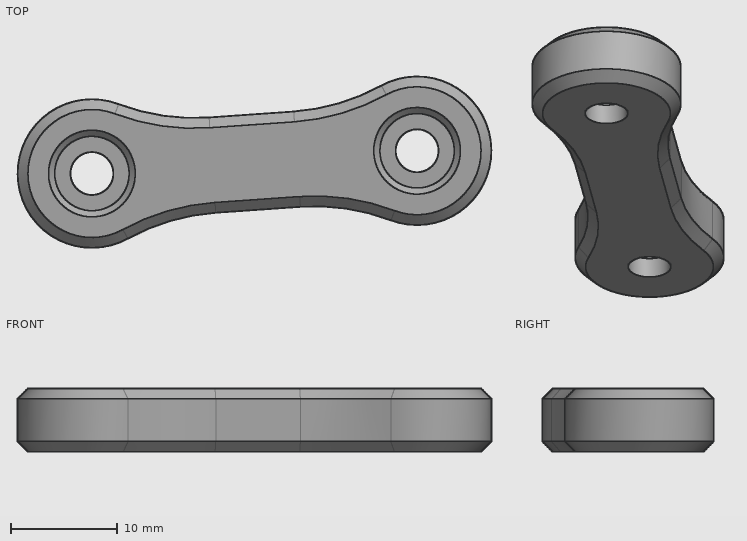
import cadquery as cq
import math

length = 44.65
depth = 16.15
thickness = 6.0
end_radius = 7.0
waist_width = 9.02
flat_length = 8.0
edge_chamfer = 1.0
hole_diameter = 4.0
counterbore_diameter = 7.0
counterbore_depth = 4.0
counterbore_chamfer = 0.6

span_x = length - 2 * end_radius
span_y = depth - 2 * end_radius
half_span = math.hypot(span_x, span_y) / 2
tilt = math.degrees(math.atan2(span_y, span_x))

waist_half = waist_width / 2
flat_half = flat_length / 2
neck_run = half_span - flat_half
neck_radius = (neck_run**2 + waist_half**2 - end_radius**2) / (2 * (end_radius - waist_half))
neck_center_y = waist_half + neck_radius
end_share = end_radius / (end_radius + neck_radius)
tangent_x = half_span - neck_run * end_share
tangent_y = neck_center_y * end_share

neck_mid_angle = math.atan2(neck_run, neck_center_y) / 2
neck_mid_x = flat_half + neck_radius * math.sin(neck_mid_angle)
neck_mid_y = neck_center_y - neck_radius * math.cos(neck_mid_angle)


def make_body():
    """Dog-bone link along X, chamfered around both faces."""
    tip_x = half_span + end_radius
    return (
        cq.Workplane("XY")
        .moveTo(-flat_half, waist_half)
        .lineTo(flat_half, waist_half)
        .threePointArc((neck_mid_x, neck_mid_y), (tangent_x, tangent_y))
        .threePointArc((tip_x, 0), (tangent_x, -tangent_y))
        .threePointArc((neck_mid_x, -neck_mid_y), (flat_half, -waist_half))
        .lineTo(-flat_half, -waist_half)
        .threePointArc((-neck_mid_x, -neck_mid_y), (-tangent_x, -tangent_y))
        .threePointArc((-tip_x, 0), (-tangent_x, tangent_y))
        .threePointArc((-neck_mid_x, neck_mid_y), (-flat_half, waist_half))
        .close()
        .extrude(thickness)
        .faces("<Z or >Z")
        .edges()
        .chamfer(edge_chamfer)
    )


def make_hole_cutter(x):
    """Through hole with a counterbore whose rim is chamfered."""
    bore_radius = counterbore_diameter / 2
    floor_z = thickness - counterbore_depth
    return (
        cq.Workplane("XZ")
        .lineTo(hole_diameter / 2, 0)
        .lineTo(hole_diameter / 2, floor_z)
        .lineTo(bore_radius, floor_z)
        .lineTo(bore_radius, thickness - counterbore_chamfer)
        .lineTo(bore_radius + counterbore_chamfer, thickness)
        .lineTo(0, thickness)
        .close()
        .revolve(360, (0, 0, 0), (0, 1, 0))
        .translate((x, 0, 0))
    )


link = make_body()
for hole_x in (-half_span, half_span):
    link = link.cut(make_hole_cutter(hole_x))

result = link.rotate((0, 0, 0), (0, 0, 1), tilt)